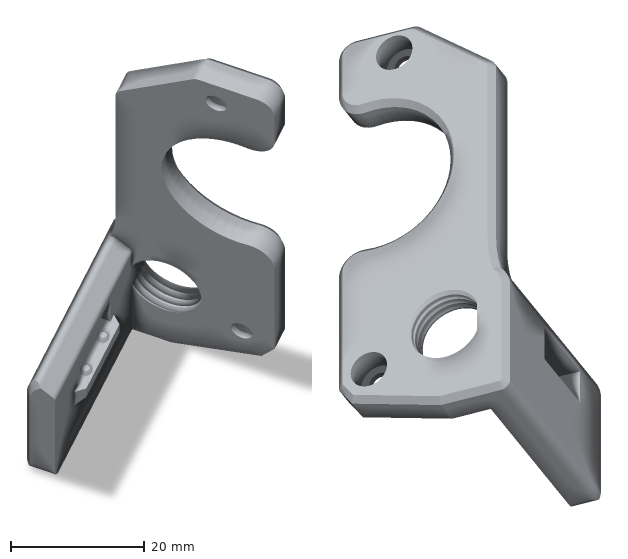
import cadquery as cq
import math

WIDTH = 28.2
HEIGHT = 69.7
DEPTH = 35.0
THICKNESS = 5.0
BEVEL = 1.0
BOTTOM_ROUND = 1.45

ARM_LEFT = 2.3
SHOULDER_Z = 59.35
TOP_LEFT_X = 15.3
SHOULDER_ROUND = 2.0
TOP_CORNER_ROUND = 3.0
BOTTOM_FLAT_END_X = 11.4
LOWER_CORNER = (26.05, 4.3)
RIGHT_SIDE_START_Z = 7.3
BLEND_TOP_Z = 27.65
BLEND_RADIUS = 20.0
BLEND_END_Z = 20.2

NOTCH_RADIUS = 12.5
NOTCH_X = 22.3
NOTCH_Z = 43.95
LIP_ROUND = 4.0

SCREW_DIAMETER = 3.5
HEAD_DIAMETER = 6.0
HEAD_DEPTH = 4.0
SCREW_CENTERS = [(18.7, 65.15), (22.85, 9.05)]
THREAD_MINOR = 11.4
THREAD_MAJOR = 12.7
THREAD_PITCH = 1.25
THREAD_X = 10.25
THREAD_Z = 13.5

ROUND_START_Z = 18.45
PEAK_X = 1.8
SLOPE_END_Z = 20.2
INNER_ROUND = 1.0
PEAK_ROUND = 1.0

WINDOW_WIDTH = 12.9
WINDOW_Y = -19.9
WINDOW_FLOOR_Z = 12.8
CATCH_REACH = 1.45
CATCH_TIP_BOTTOM_Z = 10.65
CATCH_TAPER = 1.3
PIN_SPACING = 6.6
PIN_X = 5.15
PIN_BASE_RADIUS = 1.0
PIN_TOP_RADIUS = 0.55
PIN_HEIGHT = 0.55


def round_top_z(x):
    """Height of the flange's rounded shoulder at a given X."""
    return ROUND_START_Z + math.sqrt(THICKNESS**2 - (THICKNESS - x) ** 2)


def round_vertical_edges(body, x, z, radius):
    """Fillet the thickness-direction edge passing through (x, z)."""
    near = 0.1
    box = cq.selectors.BoxSelector((x - near, -DEPTH - 0.7, z - near), (x + near, 0.7, z + near))
    return body.edges("|Y").edges(box).fillet(radius)


def make_plate():
    lip_x = WIDTH - LIP_ROUND
    lip_dx = lip_x - NOTCH_X
    lip_dz = math.sqrt((NOTCH_RADIUS + LIP_ROUND) ** 2 - lip_dx**2)
    share = NOTCH_RADIUS / (NOTCH_RADIUS + LIP_ROUND)
    touch_x = NOTCH_X + lip_dx * share
    touch_dz = lip_dz * share
    blend_drop = BLEND_TOP_Z - BLEND_END_Z
    blend_end_x = ARM_LEFT - BLEND_RADIUS + math.sqrt(BLEND_RADIUS**2 - blend_drop**2)
    plate = (
        cq.Workplane("XZ")
        .moveTo(THICKNESS / 2, 0)
        .lineTo(BOTTOM_FLAT_END_X, 0)
        .lineTo(*LOWER_CORNER)
        .lineTo(WIDTH, RIGHT_SIDE_START_Z)
        .lineTo(WIDTH, NOTCH_Z - lip_dz)
        .tangentArcPoint((touch_x, NOTCH_Z - touch_dz), relative=False)
        .threePointArc((NOTCH_X - NOTCH_RADIUS, NOTCH_Z), (touch_x, NOTCH_Z + touch_dz))
        .tangentArcPoint((WIDTH, NOTCH_Z + lip_dz), relative=False)
        .lineTo(WIDTH, HEIGHT)
        .lineTo(TOP_LEFT_X, HEIGHT)
        .lineTo(ARM_LEFT, SHOULDER_Z)
        .lineTo(ARM_LEFT, BLEND_TOP_Z)
        .tangentArcPoint((blend_end_x, BLEND_END_Z), relative=False)
        .lineTo(THICKNESS / 2, BLEND_END_Z - THICKNESS)
        .close()
        .extrude(THICKNESS)
    )
    corners = [
        (WIDTH, HEIGHT, TOP_CORNER_ROUND),
        (TOP_LEFT_X, HEIGHT, SHOULDER_ROUND),
        (ARM_LEFT, SHOULDER_Z, SHOULDER_ROUND),
    ]
    for x, z, radius in corners:
        plate = round_vertical_edges(plate, x, z, radius)
    return plate.faces(">Y").edges().chamfer(BEVEL)


def make_flange():
    flange = (
        cq.Workplane("XZ")
        .moveTo(0, 0)
        .lineTo(THICKNESS, 0)
        .lineTo(THICKNESS, SLOPE_END_Z)
        .lineTo(PEAK_X, round_top_z(PEAK_X))
        .threePointArc((PEAK_X / 3, round_top_z(PEAK_X / 3)), (0, ROUND_START_Z))
        .close()
        .extrude(DEPTH)
    )
    flange = round_vertical_edges(flange, THICKNESS, SLOPE_END_Z, INNER_ROUND)
    outer_side = cq.selectors.BoxSelector((-0.7, -DEPTH - 0.7, -0.7), (PEAK_X, 0.7, HEIGHT))
    flange = flange.faces("|Y").edges(outer_side).chamfer(BEVEL)
    flange = round_vertical_edges(flange, PEAK_X, round_top_z(PEAK_X), PEAK_ROUND)
    envelope = cq.Workplane("XY").box(THICKNESS, DEPTH, HEIGHT, centered=False).translate((0, -DEPTH, 0))
    envelope = envelope.faces("<Z").edges("<X or <Y").fillet(BOTTOM_ROUND)
    envelope = envelope.faces(">Y").edges("<Z").chamfer(BEVEL)
    return flange.intersect(envelope)


def make_window():
    height = ROUND_START_Z - WINDOW_FLOOR_Z
    return (
        cq.Workplane("XY", origin=(0, WINDOW_Y, WINDOW_FLOOR_Z))
        .rect(4 * THICKNESS, WINDOW_WIDTH)
        .extrude(height)
    )


def make_catch():
    """Wedge with a flat top, narrowing from the flange to its tip."""
    tip_height = WINDOW_FLOOR_Z - CATCH_TIP_BOTTOM_Z
    root_height = tip_height + CATCH_TAPER
    return (
        cq.Workplane("YZ", origin=(THICKNESS, WINDOW_Y, WINDOW_FLOOR_Z))
        .center(0, -root_height / 2)
        .rect(WINDOW_WIDTH + 2 * CATCH_TAPER, root_height)
        .workplane(offset=CATCH_REACH)
        .center(0, CATCH_TAPER / 2)
        .rect(WINDOW_WIDTH, tip_height)
        .loft(ruled=True)
    )


def make_pins():
    """Two small blunt cones standing on the window floor."""
    taper = math.degrees(math.atan((PIN_BASE_RADIUS - PIN_TOP_RADIUS) / PIN_HEIGHT))
    return (
        cq.Workplane("XY", origin=(PIN_X, WINDOW_Y, WINDOW_FLOOR_Z))
        .pushPoints([(0, -PIN_SPACING / 2), (0, PIN_SPACING / 2)])
        .circle(PIN_BASE_RADIUS)
        .extrude(PIN_HEIGHT, taper=taper)
    )


def make_thread_groove():
    """Helical V groove that runs past both faces of the plate."""
    length = THICKNESS + 3 * THREAD_PITCH
    start_y = 1.2 * THREAD_PITCH
    overlap = 0.15
    half_mouth = 0.45 * THREAD_PITCH
    mouth_radius = THREAD_MINOR / 2 - overlap
    helix = cq.Wire.makeHelix(THREAD_PITCH, length, THREAD_MINOR / 2)
    groove = (
        cq.Workplane("XZ")
        .moveTo(mouth_radius, -half_mouth)
        .lineTo(THREAD_MAJOR / 2, 0)
        .lineTo(mouth_radius, half_mouth)
        .close()
        .sweep(cq.Workplane(helix), isFrenet=True)
    )
    return groove.rotate((0, 0, 0), (1, 0, 0), 90).translate((THREAD_X, start_y, THREAD_Z))


def hole_from_back(x, z, diameter, depth=THICKNESS):
    return cq.Workplane("XZ").center(x, z).circle(diameter / 2).extrude(depth)


plate = make_plate()
for x, z in SCREW_CENTERS:
    plate = plate.cut(hole_from_back(x, z, SCREW_DIAMETER))
    plate = plate.cut(hole_from_back(x, z, HEAD_DIAMETER, HEAD_DEPTH))
plate = plate.cut(make_thread_groove())
plate = plate.cut(hole_from_back(THREAD_X, THREAD_Z, THREAD_MINOR))

flange = make_flange().union(make_catch()).cut(make_window()).union(make_pins())
result = plate.union(flange)